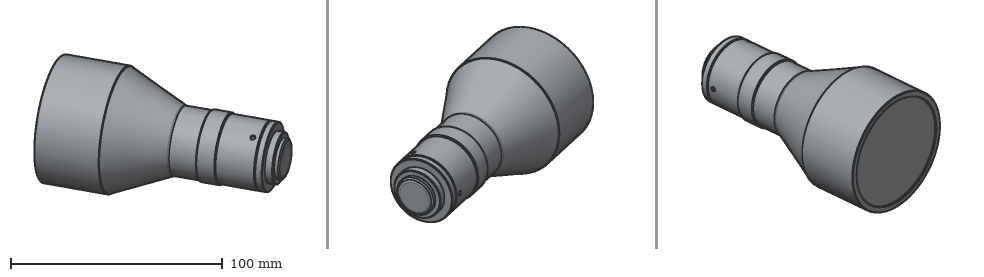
import cadquery as cq

total_length = 115.4

hood_diameter = 62.0
hood_radius = hood_diameter / 2
hood_end = 32.4
hood_edge_chamfer = 0.3
window_radius = 27.8
window_chamfer = 0.3
window_depth = 0.7

tube_radius = 17.0
cone_end = 61.6
cone_end_radius = 17.3
cone_blend_length = 0.9
tube_end = 108.9
tube_end_chamfer = 0.3

collar_radius = 17.5
collar_start = 75.8
collar_end = 85.8
collar_chamfer = collar_radius - tube_radius

groove_start = 104.7
groove_width = 0.8
groove_depth = 0.3

flange_radius = 12.7
flange_end = 112.7
flange_chamfer = 0.3

nose_radius = 10.0
nose_chamfer_start = 114.4
nose_rim_position = 115.1
nose_rim_radius = 9.1
nose_end_radius = 8.0

screw_hole_count = 3
screw_hole_position = 101.5
screw_hole_radius = 1.2
screw_hole_depth = 1.2


def make_body():
    """Revolve the half profile of the lens body around the X axis."""
    groove_end = groove_start + groove_width
    groove_radius = tube_radius - groove_depth
    profile = [
        (window_depth, 0),
        (window_depth, window_radius),
        (window_chamfer, window_radius),
        (0, window_radius + window_chamfer),
        (0, hood_radius - hood_edge_chamfer),
        (hood_edge_chamfer, hood_radius),
        (hood_end - hood_edge_chamfer, hood_radius),
        (hood_end, hood_radius - hood_edge_chamfer),
        (cone_end, cone_end_radius),
        (cone_end + cone_blend_length, tube_radius),
        (collar_start, tube_radius),
        (collar_start + collar_chamfer, collar_radius),
        (collar_end - collar_chamfer, collar_radius),
        (collar_end, tube_radius),
        (groove_start, tube_radius),
        (groove_start + groove_width / 2, groove_radius),
        (groove_end, tube_radius),
        (tube_end - tube_end_chamfer, tube_radius),
        (tube_end, tube_radius - tube_end_chamfer),
        (tube_end, flange_radius),
        (flange_end - flange_chamfer, flange_radius),
        (flange_end, flange_radius - flange_chamfer),
        (flange_end, nose_radius),
        (nose_chamfer_start, nose_radius),
        (nose_rim_position, nose_rim_radius),
        (total_length, nose_end_radius),
        (total_length, 0),
    ]
    return cq.Workplane("XY").polyline(profile).close().revolve(360, (0, 0, 0), (1, 0, 0))


def cut_screw_holes(body):
    """Cut equally spaced blind radial holes; the first one points along +Y."""
    floor_radius = tube_radius - screw_hole_depth
    hole = cq.Workplane("XZ", origin=(screw_hole_position, floor_radius, 0)).circle(screw_hole_radius)
    cutter = hole.extrude(-2 * screw_hole_depth)
    for index in range(screw_hole_count):
        angle = index * 360 / screw_hole_count
        body = body.cut(cutter.rotate((0, 0, 0), (1, 0, 0), angle))
    return body


result = cut_screw_holes(make_body())